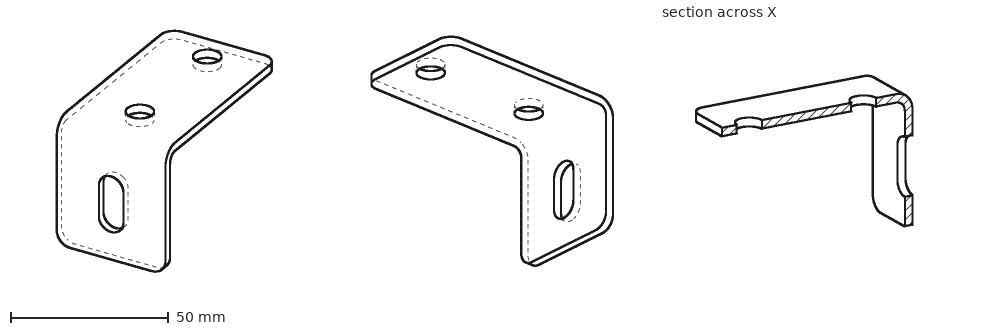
import cadquery as cq

width = 40.0
depth = 70.0
height = 45.0

thickness = 3.0
inner_bend_radius = thickness
outer_bend_radius = inner_bend_radius + thickness
corner_radius = 5.0

hole_diameter = 9.0
hole_edge_distance = 10.0
hole_spacing = 42.0

slot_width = hole_diameter
slot_length = 20.0
slot_height = 20.0


def bent_sheet():
    """L-shaped sheet, centred on X, front face at Y = 0 and bottom edge at Z = 0."""
    horizontal_leg = cq.Workplane("XY").box(width, depth, thickness, centered=(True, False, False))
    horizontal_leg = horizontal_leg.translate((0, 0, height - thickness))
    vertical_leg = cq.Workplane("XY").box(width, thickness, height, centered=(True, False, False))
    sheet = horizontal_leg.union(vertical_leg)
    inner_edge = cq.selectors.NearestToPointSelector((0, thickness, height - thickness))
    outer_edge = cq.selectors.NearestToPointSelector((0, 0, height))
    sheet = sheet.edges(inner_edge).fillet(inner_bend_radius)
    return sheet.edges(outer_edge).fillet(outer_bend_radius)


def round_free_corners(sheet):
    """Round the two corners at the free end of each leg."""
    sheet = sheet.faces(">Y").edges("|Z").fillet(corner_radius)
    return sheet.faces("<Z").edges("|Y").fillet(corner_radius)


def round_holes():
    """Cutters through the horizontal leg."""
    rear_hole_y = depth - hole_edge_distance
    front_hole_y = rear_hole_y - hole_spacing
    return (
        cq.Workplane("XY", origin=(0, 0, height - thickness))
        .pushPoints([(0, front_hole_y), (0, rear_hole_y)])
        .circle(hole_diameter / 2)
        .extrude(thickness)
    )


def front_slot():
    """Cutter through the vertical leg; the XZ plane's normal points to -Y."""
    return (
        cq.Workplane("XZ")
        .center(0, slot_height)
        .slot2D(slot_length, slot_width, angle=90)
        .extrude(-thickness)
    )


result = round_free_corners(bent_sheet()).cut(round_holes()).cut(front_slot())